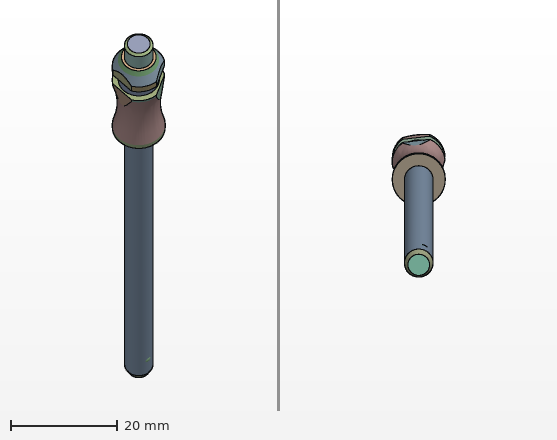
import cadquery as cq
import math

total_length = 102.2
pin_diameter = 5.4
pin_radius = pin_diameter / 2

lead_radius = 2.0
lead_height = 1.5
tip_radius = 2.1
tip_chamfer_height = 0.4

handle_radius = 5.0
waist_radius = 4.1
neck_radius = 3.9
handle_bottom = 76.0
rim_height = 0.9
waist_z = 83.7
grip_top = 91.1
lip_height = 0.6
cap_bottom = 93.8
cap_edge_top = 95.4
cap_break_z = 97.1
cap_break_radius = 3.9
cap_top = 98.1
cap_top_radius = 3.3

flat_distance = 4.3
flat_angles = (-90, 30, 150)

ball_z = 5.5
ball_radius = 1.4
ball_protrusion = 0.08


def flare_radius(z, end_z):
    """Radius of the circular flare that is vertical at the waist and full size at end_z."""
    run = abs(end_z - waist_z)
    rise = handle_radius - waist_radius
    arc_radius = (run**2 + rise**2) / (2 * rise)
    return waist_radius + arc_radius - math.sqrt(arc_radius**2 - (z - waist_z) ** 2)


def make_pin():
    """Stem running the full length, with both ends tapered."""
    return (
        cq.Workplane("XZ")
        .moveTo(0, 0)
        .lineTo(lead_radius, 0)
        .lineTo(pin_radius, lead_height)
        .lineTo(pin_radius, total_length - tip_chamfer_height)
        .lineTo(tip_radius, total_length)
        .lineTo(0, total_length)
        .close()
        .revolve(360, (0, 0), (0, 1))
    )


def make_handle():
    """Turned handle with a concave grip, a neck groove and a double-tapered cap."""
    lower_flare_z = handle_bottom + rim_height
    upper_flare_z = grip_top - lip_height
    lower_mid_z = (lower_flare_z + waist_z) / 2
    upper_mid_z = (upper_flare_z + waist_z) / 2
    return (
        cq.Workplane("XZ")
        .moveTo(0, handle_bottom)
        .lineTo(handle_radius, handle_bottom)
        .lineTo(handle_radius, lower_flare_z)
        .threePointArc((flare_radius(lower_mid_z, lower_flare_z), lower_mid_z), (waist_radius, waist_z))
        .threePointArc((flare_radius(upper_mid_z, upper_flare_z), upper_mid_z), (handle_radius, upper_flare_z))
        .lineTo(handle_radius, grip_top)
        .lineTo(neck_radius, grip_top)
        .lineTo(neck_radius, cap_bottom)
        .lineTo(handle_radius, cap_bottom)
        .lineTo(handle_radius, cap_edge_top)
        .lineTo(cap_break_radius, cap_break_z)
        .lineTo(cap_top_radius, cap_top)
        .lineTo(0, cap_top)
        .close()
        .revolve(360, (0, 0), (0, 1))
    )


def cut_flats(handle):
    """Shave the cap and the upper grip, from the waist upward."""
    cutter = cq.Workplane("XY").box(
        handle_radius, 2 * handle_radius, cap_top - waist_z, centered=(False, True, False)
    ).translate((flat_distance, 0, waist_z))
    for angle in flat_angles:
        handle = handle.cut(cutter.rotate((0, 0, 0), (0, 0, 1), angle))
    return handle


def make_ball(side):
    """Detent ball on one side, with side -1 for -X and 1 for +X."""
    center_x = side * (pin_radius + ball_protrusion - ball_radius)
    return cq.Workplane("XY").sphere(ball_radius).translate((center_x, 0, ball_z))


result = make_pin().union(cut_flats(make_handle()))
for side in (-1, 1):
    result = result.union(make_ball(side))